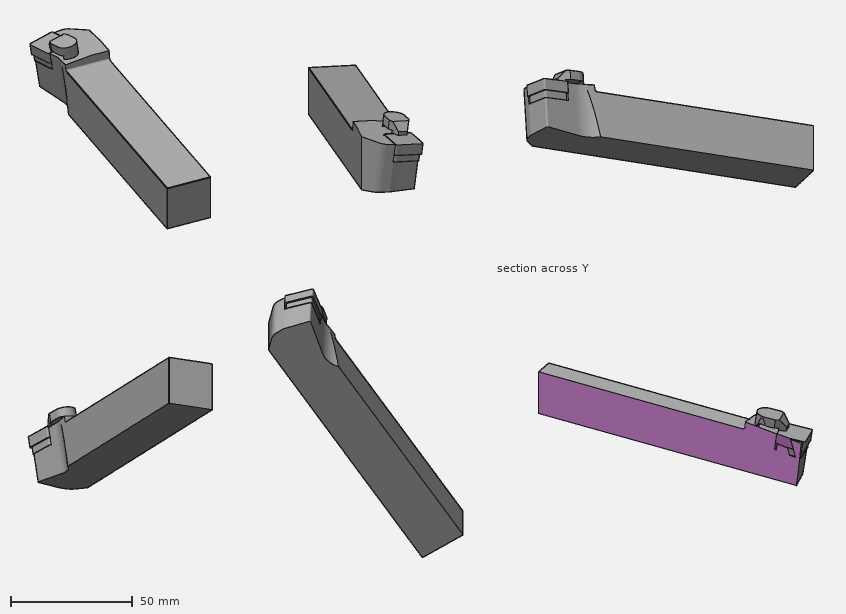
import cadquery as cq
import math

length = 124.8
shank_size = 20.0
edge_chamfer = 0.2

head_height = 24.0
head_end_top = 27.1
head_end_bottom = 27.6
step_fillet = 0.7
front_overhang = 7.5
overhang_end = 21.2
bevel_start = (8.1, 20.0)
bevel_end = (2.2, 14.1)
side_wall_x = 0.7
side_wall_top = 10.9
side_wall_bottom = 7.0
cut_wall_setback = 1.2
relief_start_x = 18.8
relief_radius = 10.0
relief_end_angle = 60.0
margin = 12.5

rake = math.tan(math.radians(6.0))
plane_height = 19.8
prism_depth = 62.4

insert_center = (7.5, 2.5)
insert_angle = 14.0
insert_side = 12.5
insert_thickness = 4.7
insert_rise = 0.2
nose_radius = 0.7
shim_thickness = 3.1
shim_inset = 0.6
wall_inset = 0.9

clamp_center = (19.8, 4.6)
clamp_radius = 4.5
clamp_height = 5.5
taper_start = 4.5
clamp_reach = 9.2
tip_half_width = 2.0
tip_height = 2.1
tip_gap = 0.2
top_reach = 6.0
bridge_height = 1.6
bridge_front = 6.2
bridge_back = 2.2


def rake_plane(offset=0.0):
    """Workplane on the raked plane, shifted along its normal."""
    plane = cq.Plane(origin=(0, 0, plane_height), xDir=(1, 0, rake), normal=(-rake, -rake, 1))
    return cq.Workplane(plane).workplane(offset=offset)


def turned(point, center):
    """Point given along the insert's edges, moved to raked-plane coordinates."""
    angle = math.radians(insert_angle)
    x, y = point
    return (
        center[0] + x * math.cos(angle) - y * math.sin(angle),
        center[1] + x * math.sin(angle) + y * math.cos(angle),
    )


def square_prism(side, top, thickness):
    """Square prism under the insert's outline, `top` above the raked plane."""
    return (
        rake_plane(top)
        .center(*insert_center)
        .transformed(rotate=(0, 0, insert_angle))
        .rect(side, side)
        .extrude(-thickness)
    )


def rounded_prism(side, top, thickness):
    """Square prism with its four upright corners rounded."""
    upright = cq.selectors.ParallelDirSelector(rake_plane().plane.zDir)
    return square_prism(side, top, thickness).edges(upright).fillet(nose_radius)


def make_blank():
    """Chamfered shank with the raised head and the stock in front of it."""
    shank = cq.Workplane("XY").box(length, shank_size, shank_size, centered=False)
    shank = shank.faces(">Z or >X").edges("not <X").edges("not <Z").chamfer(edge_chamfer)
    head = (
        cq.Workplane("XZ")
        .moveTo(0, 0)
        .lineTo(head_end_bottom + step_fillet, 0)
        .lineTo(head_end_bottom + step_fillet, shank_size)
        .radiusArc((head_end_bottom, shank_size + step_fillet), step_fillet)
        .lineTo(head_end_top, head_height)
        .lineTo(0, head_height)
        .close()
        .extrude(-shank_size)
    )
    overhang = cq.Workplane("XY").box(overhang_end, front_overhang, head_height, centered=False)
    return shank.union(head).union(overhang.translate((0, -front_overhang, 0)))


def head_prism():
    """Everything inside the head's walls, which stand square to the raked plane."""
    inset_half = insert_side / 2 - wall_inset
    corner = turned((-inset_half, -inset_half), insert_center)
    slope = math.radians(insert_angle)
    side_wall_foot = (side_wall_x, side_wall_bottom)
    cut_wall_top = turned((-inset_half, inset_half - cut_wall_setback), insert_center)
    relief_start = (relief_start_x, corner[1] + (relief_start_x - corner[0]) * math.tan(slope))
    relief_center = (
        relief_start[0] + relief_radius * math.sin(slope),
        relief_start[1] - relief_radius * math.cos(slope),
    )
    end_angle = math.radians(relief_end_angle)
    relief_end = (
        relief_center[0] + relief_radius * math.sin(end_angle),
        relief_center[1] + relief_radius * math.cos(end_angle),
    )
    bevel_run = bevel_start[0] - bevel_end[0]
    bevel_rise = bevel_start[1] - bevel_end[1]
    back = shank_size + margin
    bevel_top = (bevel_start[0] + (back - bevel_start[1]) * bevel_run / bevel_rise, back)
    prism = (
        rake_plane()
        .moveTo(*bevel_top)
        .lineTo(*bevel_end)
        .tangentArcPoint((side_wall_x, side_wall_top), relative=False)
        .lineTo(*side_wall_foot)
        .lineTo(*cut_wall_top)
        .lineTo(*corner)
        .lineTo(*relief_start)
        .tangentArcPoint(relief_end, relative=False)
        .lineTo(length + margin, -margin)
        .lineTo(length + margin, back)
        .close()
        .extrude(-prism_depth)
    )
    nose = cq.selectors.NearestToPointSelector(
        rake_plane(-prism_depth / 2).plane.toWorldCoords(corner).toTuple()
    )
    return prism.edges(nose).fillet(nose_radius)


def make_shim():
    side = insert_side - 2 * shim_inset
    return rounded_prism(side, insert_rise - insert_thickness, shim_thickness)


def make_clamp():
    """Round-ended clamp with a bevelled tip, bridging from the head over the insert."""
    tip_bottom = insert_rise + tip_gap
    outline = [
        (0, clamp_radius),
        (-taper_start, clamp_radius),
        (-clamp_reach, tip_half_width),
        (-clamp_reach, -tip_half_width),
        (-taper_start, -clamp_radius),
        (0, -clamp_radius),
    ]
    base = rake_plane().center(*clamp_center).transformed(rotate=(0, 0, insert_angle))
    body = (
        base.polyline(outline)
        .threePointArc((clamp_radius, 0), outline[0])
        .close()
        .extrude(clamp_height)
    )
    side_profile = (
        base.transformed(rotate=(90, 0, 0))
        .moveTo(-clamp_reach, tip_bottom)
        .lineTo(-bridge_front, tip_bottom)
        .lineTo(-bridge_front, bridge_height)
        .lineTo(bridge_back, bridge_height)
        .lineTo(bridge_back, 0)
        .lineTo(clamp_radius, 0)
        .lineTo(clamp_radius, clamp_height)
        .lineTo(-top_reach, clamp_height)
        .lineTo(-clamp_reach, tip_height)
        .close()
        .extrude(clamp_radius, both=True)
    )
    return body.intersect(side_profile)


def make_insert():
    return rounded_prism(insert_side, insert_rise, insert_thickness)


def make_holder():
    seat_top = insert_rise + margin
    shim_bottom = insert_rise - insert_thickness - shim_thickness
    pocket = square_prism(insert_side, seat_top, seat_top - shim_bottom)
    holder = make_blank().intersect(head_prism())
    return holder.cut(pocket).union(make_shim()).union(make_clamp())


holder = make_holder()
insert = make_insert()
result = cq.Compound.makeCompound([holder.val(), insert.val()])